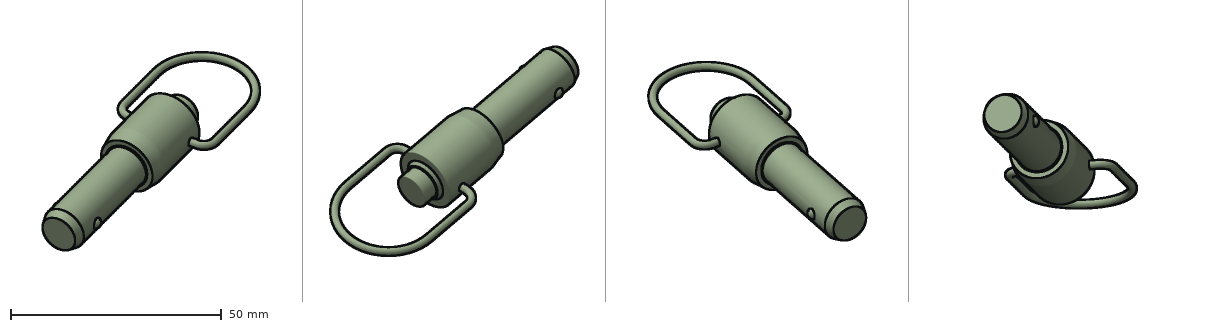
import cadquery as cq
import math

total_length = 76.95

shank_radius = 5.55
tip_radius = 4.6
tip_taper_length = 2.4

collar_start = 30.0
collar_radius = 8.0
collar_nose_radius = 7.2
collar_taper_length = 4.0
collar_end = 49.8
collar_edge_round = 0.3

shoulder_radius = 5.8
shoulder_height = 0.2

neck_top_radius = 4.8
neck_base_radius = 5.55
neck_end = 50.9
button_radius = 4.4
button_end = 54.8
button_edge_round = 0.2

ball_radius = 1.5
ball_reach = 6.5
ball_position = 8.2

handle_width = 27.7
wire_radius = 1.1
bend_radius = 3.15
handle_pivot = 45.8
wire_inner_end = 6.15


def cylinder_along_y(radius, start, end):
    axis_plane = cq.Plane(origin=(0, start, 0), xDir=(1, 0, 0), normal=(0, 1, 0))
    return cq.Workplane(axis_plane).circle(radius).extrude(end - start)


def revolve_about_y(points):
    """Revolve a closed (radius, Y) outline about the pin axis."""
    return cq.Workplane("XY").polyline(points).close().revolve(360, (0, 0), (0, 1))


def make_shank():
    return revolve_about_y([
        (0, 0),
        (tip_radius, 0),
        (shank_radius, tip_taper_length),
        (shank_radius, collar_end),
        (0, collar_end),
    ])


def make_collar():
    collar = revolve_about_y([
        (0, collar_start),
        (collar_nose_radius, collar_start),
        (collar_radius, collar_start + collar_taper_length),
        (collar_radius, collar_end),
        (0, collar_end),
    ])
    return collar.faces(">Y").edges().fillet(collar_edge_round)


def make_shoulder():
    return cylinder_along_y(shoulder_radius, collar_start - shoulder_height, collar_start + collar_taper_length)


def make_neck():
    return revolve_about_y([
        (0, collar_end),
        (neck_base_radius, collar_end),
        (neck_top_radius, neck_end),
        (0, neck_end),
    ])


def make_button():
    button = cylinder_along_y(button_radius, collar_end, button_end)
    return button.faces(">Y").edges().fillet(button_edge_round)


def make_ball(side):
    return cq.Workplane("XY").sphere(ball_radius).translate(
        (side * (ball_reach - ball_radius), ball_position, 0)
    )


def make_handle():
    leg = handle_width / 2 - wire_radius
    leg_start = handle_pivot + bend_radius
    leg_end = total_length - wire_radius - leg
    bend_start = leg - bend_radius
    bend_mid_x = bend_start + bend_radius * math.sin(math.pi / 4)
    bend_mid_y = leg_start - bend_radius * math.cos(math.pi / 4)
    path = (
        cq.Workplane("XY")
        .moveTo(-wire_inner_end, handle_pivot)
        .lineTo(-bend_start, handle_pivot)
        .threePointArc((-bend_mid_x, bend_mid_y), (-leg, leg_start))
        .lineTo(-leg, leg_end)
        .threePointArc((0, leg_end + leg), (leg, leg_end))
        .lineTo(leg, leg_start)
        .threePointArc((bend_mid_x, bend_mid_y), (bend_start, handle_pivot))
        .lineTo(wire_inner_end, handle_pivot)
    )
    wire_end = cq.Workplane("YZ", origin=(-wire_inner_end, handle_pivot, 0))
    return wire_end.circle(wire_radius).sweep(path)


result = make_shank()
for body in (make_shoulder(), make_collar(), make_neck(), make_button(), make_handle()):
    result = result.union(body)
for side in (-1, 1):
    result = result.union(make_ball(side))